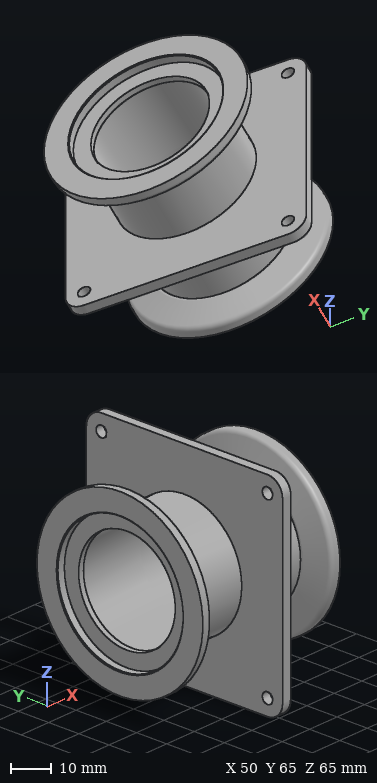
import cadquery as cq
import math

overall_length = 50.0
plate_size = 65.0
plate_thickness = 3.0

corner_radius = 5.0
hole_diameter = 3.4
hole_inset = corner_radius
hole_spacing = plate_size - 2 * hole_inset

tube_radius = 19.0
bore_radius = 16.0

flange_radius = 27.5
flange_thickness = 5.1
rim_width = 1.9
rim_fillet = 1.4
cone_angle = 15.0
recess_depth = 2.6
recess_mouth_radius = 21.0
recess_chamfer = 0.25
recess_radius = recess_mouth_radius - recess_chamfer
socket_depth = 0.7
floor_depth = flange_thickness - socket_depth

fillet_turn = math.radians(90 - cone_angle)
arc_center_radius = flange_radius - rim_fillet


def arc_point(turn):
    """Point (distance from face, radius) on the rim fillet after turning from the rim."""
    return (
        rim_width + rim_fillet * math.sin(turn),
        arc_center_radius + rim_fillet * math.cos(turn),
    )


cone_start = arc_point(fillet_turn)
cone_drop = (flange_thickness - cone_start[0]) / math.tan(math.radians(cone_angle))
cone_end_radius = cone_start[1] - cone_drop


def make_plate():
    """Square plate with rounded corners, corner holes and a hole for the tube."""
    return (
        cq.Workplane("YZ")
        .rect(plate_size, plate_size)
        .extrude(plate_thickness / 2, both=True)
        .edges("|X")
        .fillet(corner_radius)
        .faces(">X")
        .workplane()
        .rect(hole_spacing, hole_spacing, forConstruction=True)
        .vertices()
        .hole(hole_diameter)
        .faces(">X")
        .workplane()
        .hole(2 * tube_radius)
    )


def make_tube():
    """Straight tube that ends in the sockets of both flanges."""
    tube_length = overall_length - 2 * floor_depth
    return (
        cq.Workplane("YZ")
        .circle(tube_radius)
        .circle(bore_radius)
        .extrude(tube_length / 2, both=True)
    )


def make_left_flange():
    """Flange revolved about X, with a recessed face and a socket in its back."""
    return (
        cq.Workplane("XY")
        .moveTo(0, recess_mouth_radius)
        .lineTo(0, flange_radius)
        .lineTo(rim_width, flange_radius)
        .threePointArc(arc_point(fillet_turn / 2), cone_start)
        .lineTo(flange_thickness, cone_end_radius)
        .lineTo(flange_thickness, tube_radius)
        .lineTo(floor_depth, tube_radius)
        .lineTo(floor_depth, bore_radius)
        .lineTo(recess_depth, bore_radius)
        .lineTo(recess_depth, recess_radius)
        .lineTo(recess_chamfer, recess_radius)
        .close()
        .revolve(360, (0, 0, 0), (1, 0, 0))
        .translate((-overall_length / 2, 0, 0))
    )


plate = make_plate()
tube = make_tube()
left_flange = make_left_flange()

flanges = [left_flange.rotate((0, 0, 0), (0, 0, 1), turn).val() for turn in (0, 180)]

result = cq.Compound.makeCompound([plate.val(), tube.val(), *flanges])